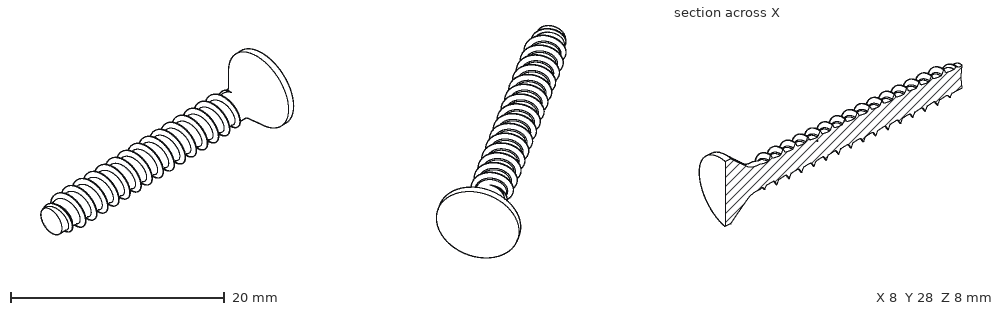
import cadquery as cq
import math


length = 28.0
tip_dish_depth = 0.13

head_radius = 4.0
rim_height = 0.68
cone_angle = math.radians(45)
neck_radius = 1.585
neck_fillet = 1.55

neck_end = 4.07
taper_end = 4.68
core_radius = 1.41

pitch = 1.46
crest_radius = 2.0
crest_half_width = 0.04
mid_flank_radius = 1.77
mid_flank_half_width = 0.13
land_radius = 1.51
ridge_half_width = 0.25
head_flank_foot = 0.35
land_foot = 0.85
root_radius = 1.2

thread_start = 3.56
run_in_turns = 1.25
full_turns = 14.0
run_out_turns = 1.6
sunk_radius = 1.35
run_in_sink = 0.60
run_out_sink = 0.95

thread_profile = [
    (root_radius, -head_flank_foot),
    (core_radius, -head_flank_foot),
    (land_radius, -ridge_half_width),
    (mid_flank_radius, -mid_flank_half_width),
    (crest_radius, -crest_half_width),
    (crest_radius, crest_half_width),
    (mid_flank_radius, mid_flank_half_width),
    (land_radius, ridge_half_width),
    (core_radius, land_foot),
    (root_radius, land_foot),
]

origin = cq.Vector(0, 0, 0)
x_axis = cq.Vector(1, 0, 0)
z_axis = cq.Vector(0, 0, 1)


def make_body():
    """Head, neck fillet, core and dished tip in one revolution about the axis."""
    cone_foot_radius = neck_radius + neck_fillet * (1 - math.cos(cone_angle))
    cone_foot = rim_height + (head_radius - cone_foot_radius) / math.tan(cone_angle)
    fillet_end = cone_foot + neck_fillet * math.sin(cone_angle)
    half_angle = cone_angle / 2
    fillet_middle = (
        neck_radius + neck_fillet * (1 - math.cos(half_angle)),
        fillet_end - neck_fillet * math.sin(half_angle),
    )
    outline = (
        cq.Workplane("XZ")
        .lineTo(head_radius, 0)
        .lineTo(head_radius, rim_height)
        .lineTo(cone_foot_radius, cone_foot)
        .threePointArc(fillet_middle, (neck_radius, fillet_end))
        .lineTo(neck_radius, neck_end)
        .lineTo(core_radius, taper_end)
        .lineTo(core_radius, length)
        .lineTo(0, length - tip_dish_depth)
        .close()
    )
    return outline.revolve(360, (0, 0, 0), (0, 1, 0))


def sunk_depth(radius, sink):
    """How far a profile point is lowered when a share of the profile height is sunk."""
    return sink * max(radius - sunk_radius, 0)


def rising_helix(radius, depth, turns, rise):
    """Right-hand helix from the +X side, ending at radius after growing by rise."""
    height = turns * pitch
    center = cq.Vector(0, 0, depth)
    if rise == 0:
        return cq.Wire.makeHelix(pitch, height, radius, center)
    slope = math.atan2(rise, height)
    slant = 1 / math.cos(slope)
    return cq.Wire.makeHelix(pitch * slant, height * slant, radius - rise, center, angle=math.degrees(slope))


def thread_faces(profile, turns, sink=0):
    """Helical faces of a closed profile that starts sunk and ends at full height."""
    helices = [rising_helix(radius, depth, turns, sunk_depth(radius, sink)) for radius, depth in profile]
    next_helices = helices[1:] + helices[:1]
    ruled = [cq.Face.makeRuledSurface(one, other) for one, other in zip(helices, next_helices)]
    return [face for surface in ruled for face in surface.Faces()]


def sunk_cap(profile, sink):
    """Flat face on the +X side that closes the sunk start of the thread."""
    corners = [cq.Vector(radius - sunk_depth(radius, sink), 0, depth) for radius, depth in profile]
    return cq.Face.makeFromWires(cq.Wire.makePolygon(corners, close=True))


def place(faces, turn):
    """Screw faces from the thread start along to the given turn."""
    shift = cq.Vector(0, 0, thread_start + turn * pitch)
    return [face.rotate(origin, z_axis, turn * 360).translate(shift) for face in faces]


def make_thread():
    """Thread between the end of the neck and the tip."""
    run_in = thread_faces(thread_profile, run_in_turns, run_in_sink)
    run_in.append(sunk_cap(thread_profile, run_in_sink))

    full = thread_faces(thread_profile, full_turns)

    mirrored_profile = [(radius, -depth) for radius, depth in thread_profile]
    run_out = thread_faces(mirrored_profile, run_out_turns, run_out_sink)
    run_out.append(sunk_cap(mirrored_profile, run_out_sink))
    run_out = [face.rotate(origin, x_axis, 180) for face in run_out]

    total_turns = run_in_turns + full_turns + run_out_turns
    faces = place(run_in, 0) + place(full, run_in_turns) + place(run_out, total_turns)
    thread = cq.Workplane(cq.Solid.makeSolid(cq.Shell.makeShell(faces)))

    threaded_length = length - tip_dish_depth - neck_end
    limit = cq.Workplane("XY", origin=(0, 0, neck_end)).circle(head_radius).extrude(threaded_length)
    return thread.intersect(limit)


screw = make_body().union(make_thread())
result = screw.rotate((0, 0, 0), (1, 0, 0), 90)